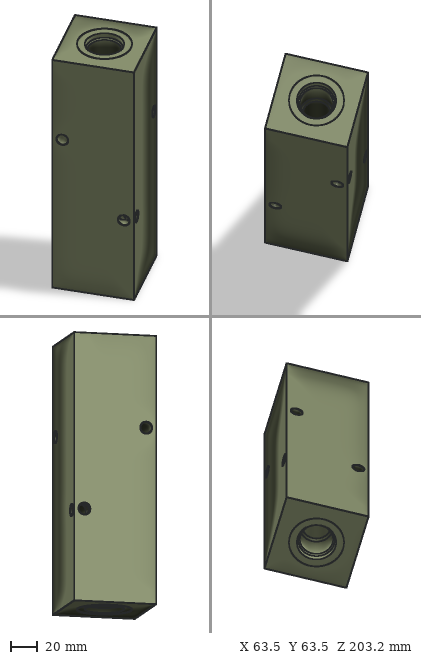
import cadquery as cq

height = 203.2
width = 63.5
edge_chamfer = 0.2

spotface_diameter = 41.0
spotface_depth = 0.5
seat_top_diameter = 29.3
seat_bottom_diameter = 27.2
seat_depth = 3.3
thread_diameter = 24.8
thread_end_depth = 23.4
bore_diameter = 21.3

mount_diameter = 8.5
mount_chamfer = 0.5
mount_offset = 23.8
mount_height = 31.7


def port_cutter():
    """Revolved cutter for the top port: spotface, tapered seat, lead-in, thread bore, end cone.

    The lead-in and the end cone both slope at 45 degrees.
    """
    top = height / 2
    seat_top = top - spotface_depth
    seat_bottom = seat_top - seat_depth
    lead_in_bottom = seat_bottom - (seat_bottom_diameter - thread_diameter) / 2
    thread_end = top - thread_end_depth
    cone_end = thread_end - (thread_diameter - bore_diameter) / 2
    profile = [
        (0, top),
        (spotface_diameter / 2, top),
        (spotface_diameter / 2, seat_top),
        (seat_top_diameter / 2, seat_top),
        (seat_bottom_diameter / 2, seat_bottom),
        (thread_diameter / 2, lead_in_bottom),
        (thread_diameter / 2, thread_end),
        (bore_diameter / 2, cone_end),
        (0, cone_end),
    ]
    return cq.Workplane("YZ").polyline(profile).close().revolve(360, (0, 0), (0, 1))


def mount_cutter(plane, side):
    """Pair of through holes on one diagonal; side is the sign of the upper hole's offset.

    Each hole is a revolved cutter that widens by a 45 degree chamfer at both faces.
    """
    radius = mount_diameter / 2
    face = width / 2
    profile = [
        (0, -face),
        (radius + mount_chamfer, -face),
        (radius, mount_chamfer - face),
        (radius, face - mount_chamfer),
        (radius + mount_chamfer, face),
        (0, face),
    ]
    hole = cq.Workplane("XZ").polyline(profile).close().revolve(360, (0, 0), (0, 1)).val()
    upper = (side * mount_offset, mount_height)
    lower = (-side * mount_offset, -mount_height)
    return cq.Workplane(plane).pushPoints([upper, lower]).eachpoint(lambda place: hole.moved(place), True)


block = cq.Workplane("XY").box(width, width, height).edges().chamfer(edge_chamfer)
bore = cq.Workplane("XY").circle(bore_diameter / 2).extrude(height, both=True)
top_port = port_cutter()
bottom_port = top_port.mirror("XY")

result = block.cut(bore).cut(top_port).cut(bottom_port)
result = result.cut(mount_cutter("XZ", -1)).cut(mount_cutter("YZ", 1))